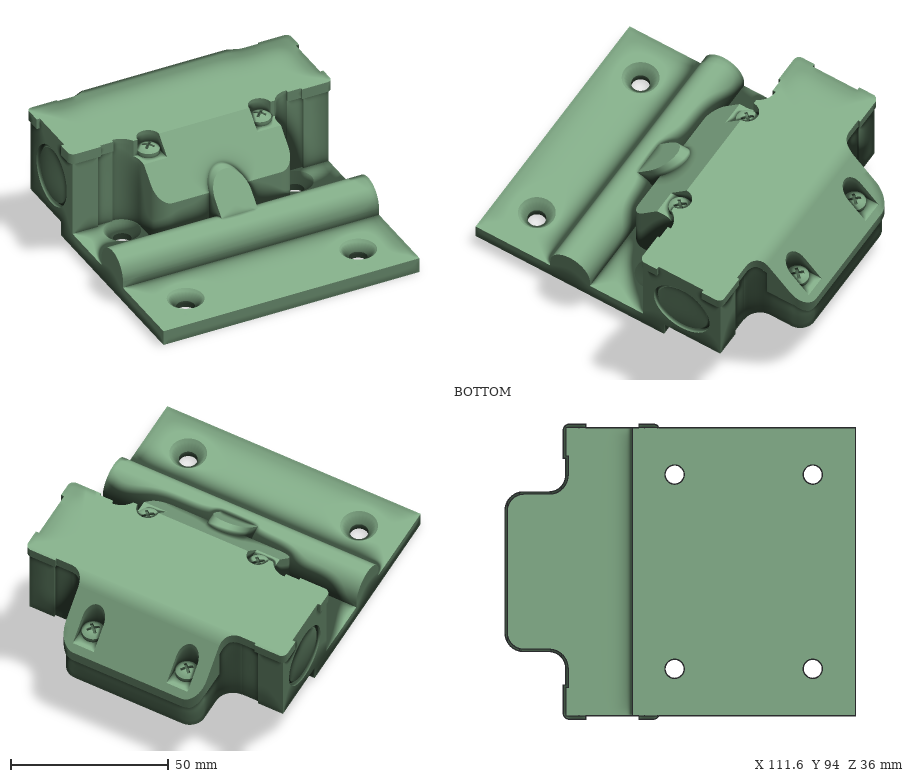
import cadquery as cq
import math


total_length = 111.6
total_height = 36.0

plate_start_x = 40.6
plate_half_width = 45.9
plate_thickness = 5.2
barrel_radius = 7.5
barrel_x = 76.0
barrel_axis_z = 7.6
hole_x_positions = (54.0, 98.0)
hole_y = 30.9
hole_radius = 3.0
countersink_radius = 6.0
countersink_angle = 90.0

wall_inset = 0.8
housing_half_width = plate_half_width
block_start_x = 20.2
block_end_x = 47.8
block_center_x = (block_start_x + block_end_x) / 2
end_pad_start_y = 36.8

flap_edge_z = 18.9
flap_half_width = 25.5
flap_corner_radius = 6.0
flap_flare_radius = 5.2
top_edge_radius = 8.2
flap_flare_y = flap_half_width + flap_flare_radius

back_slope_x = 50.9
back_end_x = 67.0
back_half_width = 24.6
back_corner_radius = 5.1
scallop_radius = 6.7
scallop_x = hole_x_positions[0]
scallop_y = back_half_width + scallop_radius

cover_thickness = 3.7
cover_lip_z = total_height - cover_thickness
cover_front_overhang = 0.9
cover_back_overhang = 0.7
cover_start_x = block_start_x - cover_front_overhang
cover_end_x = block_end_x + cover_back_overhang
cover_half_width = housing_half_width
front_pad_length = 7.3
back_pad_length = 6.6
cover_pad_overhang = 0.8
cover_pad_end_overhang = 1.1
cover_pad_start_y = 36.1
cover_pad_radius = 2.0
flap_lip_z = 15.0
flap_skirt_z = 18.8
flap_skirt_end_x = 14.7

plug_z = 19.0
plug_bore_radius = 10.5
plug_face_radius = 9.3
plug_recess_depth = 0.7

screw_head_radius = 3.7
screw_rim_height = 1.6
screw_head_height = 2.9
recess_arm_angle = 45.0
recess_arm_length = 4.2
recess_arm_width = 1.0
recess_depth = 1.3
pocket_radius = 3.8
front_screw_x = 8.6
front_screw_y = 17.0
front_pocket_start_x = 2.0
back_screw_x = back_slope_x
back_screw_y = 20.0
back_pocket_end_x = 56.7

tongue_half_width = 6.5
tongue_axis_z = 19.4
tongue_bottom_z = 10.3
tongue_slope_x = 64.9
tongue_top_z = tongue_axis_z + tongue_half_width


def box(x_range, y_range, z_range):
    """Axis-aligned box between the given limits."""
    sizes = [high - low for low, high in (x_range, y_range, z_range)]
    return cq.Workplane("XY").box(*sizes, centered=False).translate((x_range[0], y_range[0], z_range[0]))


def cylinder(x, y, radius, bottom, top):
    """Upright cylinder."""
    return cq.Workplane("XY", origin=(x, y, bottom)).circle(radius).extrude(top - bottom)


def side_profile(points, half_width):
    """Closed X-Z outline extruded symmetrically about Y = 0."""
    return cq.Workplane("XZ").polyline(points).close().extrude(half_width, both=True)


def mirrored(feature):
    """Feature together with its mirror image across Y = 0."""
    return feature.union(feature.mirror("XZ"))


def make_plate():
    """Base plate with four countersunk holes and a round-topped hinge barrel."""
    plate = box((plate_start_x, total_length), (-plate_half_width, plate_half_width), (0, plate_thickness))
    barrel = (
        cq.Workplane("XZ")
        .moveTo(barrel_x - barrel_radius, 0)
        .lineTo(barrel_x - barrel_radius, barrel_axis_z)
        .threePointArc((barrel_x, barrel_axis_z + barrel_radius), (barrel_x + barrel_radius, barrel_axis_z))
        .lineTo(barrel_x + barrel_radius, 0)
        .close()
        .extrude(plate_half_width, both=True)
    )
    holes = [(x, side * hole_y) for x in hole_x_positions for side in (-1, 1)]
    plate = (
        plate.faces(">Z").workplane(origin=(0, 0, plate_thickness))
        .pushPoints(holes)
        .cskHole(2 * hole_radius, 2 * countersink_radius, countersink_angle)
    )
    return plate.union(barrel)


def make_flap(inset, root_x, bottom, top):
    """Flap with rounded outer corners and flared roots, its sides set in by the given amount."""
    edge_x = inset
    half_width = flap_half_width - inset
    corner = flap_corner_radius - inset
    flare = flap_flare_radius + inset
    flare_x = cover_start_x + inset - flare
    diagonal = math.sqrt(0.5)
    return (
        cq.Workplane("XY", origin=(0, 0, bottom))
        .moveTo(root_x, 0)
        .lineTo(root_x, flap_flare_y)
        .lineTo(flare_x + flare, flap_flare_y)
        .threePointArc(
            (flare_x + flare * diagonal, flap_flare_y - flare * diagonal),
            (flare_x, half_width),
        )
        .lineTo(edge_x + corner, half_width)
        .tangentArcPoint((edge_x, half_width - corner), relative=False)
        .lineTo(edge_x, 0)
        .mirrorX()
        .extrude(top - bottom)
    )


def make_back_block():
    """Block under the back slope, flaring out towards the main block."""
    z_range = (plate_thickness, total_height)
    block = box((block_center_x, back_end_x), (-back_half_width, back_half_width), z_range)
    block = block.edges("|Z and >X").fillet(back_corner_radius)
    root = box((block_center_x, scallop_x), (-scallop_y, scallop_y), z_range)
    return block.union(root)


def make_scallop():
    """Half-round clearance that forms the flare of the back block."""
    disc = cylinder(scallop_x, scallop_y, scallop_radius, plate_thickness, total_height)
    inner_half = box(
        (scallop_x - scallop_radius, scallop_x + scallop_radius),
        (back_half_width, scallop_y),
        (plate_thickness, total_height),
    )
    return disc.intersect(inner_half)


def make_housing():
    """Main block with thicker ends, the front flap and the back block, before the slopes are cut."""
    z_range = (plate_thickness, total_height)
    housing = box((block_start_x, block_end_x), (-housing_half_width, housing_half_width), z_range)
    end_pad = box(
        (block_start_x - wall_inset, block_end_x + wall_inset),
        (end_pad_start_y, housing_half_width),
        z_range,
    )
    flap = make_flap(wall_inset, block_center_x, *z_range)
    return housing.union(mirrored(end_pad)).union(flap).union(make_back_block())


def make_cover():
    """Cover plate with proud corner pads, continuing down over the front flap."""
    z_range = (cover_lip_z, total_height)
    plate = box((cover_start_x, cover_end_x), (-cover_half_width, cover_half_width), z_range)
    pad_start_x = cover_start_x - cover_pad_overhang
    pad_end_x = cover_end_x + cover_pad_overhang
    pad_y_range = (cover_pad_start_y, cover_half_width + cover_pad_end_overhang)
    front_pad = box((pad_start_x, pad_start_x + front_pad_length), pad_y_range, z_range)
    back_pad = box((pad_end_x - back_pad_length, pad_end_x), pad_y_range, z_range)
    front_pad = front_pad.edges("|Z and <X and >Y").fillet(cover_pad_radius)
    back_pad = back_pad.edges("|Z and >X and >Y").fillet(cover_pad_radius)

    underside_offset = flap_lip_z - wall_inset
    shell = side_profile(
        [
            (0, total_height),
            (0, flap_lip_z),
            (wall_inset, flap_lip_z),
            (flap_skirt_z - underside_offset, flap_skirt_z),
            (flap_skirt_end_x, flap_skirt_z),
            (flap_skirt_end_x, flap_skirt_end_x + underside_offset),
            (cover_lip_z - underside_offset, cover_lip_z),
            (block_center_x, cover_lip_z),
            (block_center_x, total_height),
        ],
        flap_flare_y,
    )
    flap = make_flap(0, block_center_x, flap_lip_z, total_height).intersect(shell)
    return plate.union(mirrored(front_pad.union(back_pad))).union(flap)


def make_envelope():
    """Side profile with the two slopes and the rounded edge between front slope and top."""
    rise = total_height - flap_edge_z
    housing_height = total_height - plate_thickness
    envelope = side_profile(
        [
            (0, plate_thickness),
            (0, flap_edge_z),
            (rise, total_height),
            (back_slope_x, total_height),
            (back_slope_x + housing_height, plate_thickness),
        ],
        housing_half_width + cover_pad_end_overhang,
    )
    top_front_edge = cq.selectors.NearestToPointSelector((rise, 0, total_height))
    return envelope.edges("|Y").edges(top_front_edge).fillet(top_edge_radius)


def make_plug_recess():
    """Space around a bevelled plug sunk into the bore of the +Y end face."""
    bevel = plug_bore_radius - plug_face_radius
    depth = plug_recess_depth + bevel
    bore = (
        cq.Workplane("XZ", origin=(block_center_x, housing_half_width, plug_z))
        .circle(plug_bore_radius)
        .extrude(depth)
    )
    bevelled_plug = (
        cq.Workplane("XZ", origin=(block_center_x, housing_half_width - depth, plug_z))
        .circle(plug_bore_radius)
        .workplane(offset=-bevel)
        .circle(plug_face_radius)
        .loft()
    )
    return bore.cut(bevelled_plug)


def dome_midpoint():
    """Point halfway along the spherical dome from rim to crown, as radius and height."""
    dome_height = screw_head_height - screw_rim_height
    sphere_radius = (screw_head_radius**2 + dome_height**2) / (2 * dome_height)
    half_angle = math.asin(screw_head_radius / sphere_radius) / 2
    height = screw_head_height - sphere_radius * (1 - math.cos(half_angle))
    return (sphere_radius * math.sin(half_angle), height)


def make_screw_head(x, y, seat_z):
    """Domed screw head with a cross recess turned 45 degrees."""
    head = (
        cq.Workplane("XZ")
        .lineTo(screw_head_radius, 0)
        .lineTo(screw_head_radius, screw_rim_height)
        .threePointArc(dome_midpoint(), (0, screw_head_height))
        .close()
        .revolve(360, (0, 0, 0), (0, 1, 0))
    )
    for angle in (recess_arm_angle, -recess_arm_angle):
        arm = cq.Workplane("XY").box(recess_arm_length, recess_arm_width, 2 * recess_depth)
        head = head.cut(arm.rotate((0, 0, 0), (0, 0, 1), angle).translate((0, 0, screw_head_height)))
    return head.translate((x, y, seat_z))


def make_tongue():
    """Round-topped tongue linking the back block to the barrel, cut off parallel to the slope."""
    tongue = (
        cq.Workplane("YZ", origin=(back_slope_x, 0, 0))
        .moveTo(-tongue_half_width, tongue_bottom_z)
        .lineTo(-tongue_half_width, tongue_axis_z)
        .threePointArc((0, tongue_top_z), (tongue_half_width, tongue_axis_z))
        .lineTo(tongue_half_width, tongue_bottom_z)
        .close()
        .extrude(barrel_x - back_slope_x)
    )
    trim = side_profile(
        [
            (back_slope_x, 0),
            (back_slope_x, tongue_top_z),
            (tongue_slope_x, tongue_top_z),
            (barrel_x, tongue_top_z - (barrel_x - tongue_slope_x)),
            (barrel_x, 0),
        ],
        tongue_half_width,
    )
    return tongue.intersect(trim)


housing = make_housing().union(make_cover()).intersect(make_envelope())
housing = housing.cut(mirrored(make_scallop())).cut(mirrored(make_plug_recess()))

front_seat_z = flap_edge_z + front_pocket_start_x
back_seat_z = total_height - (back_pocket_end_x - back_slope_x)

front_pocket = cylinder(front_screw_x, front_screw_y, pocket_radius, front_seat_z, total_height).union(
    box(
        (front_pocket_start_x, front_screw_x),
        (front_screw_y - pocket_radius, front_screw_y + pocket_radius),
        (front_seat_z, total_height),
    )
)
back_pocket = cylinder(back_screw_x, back_screw_y, pocket_radius, back_seat_z, total_height).union(
    box(
        (back_screw_x, back_pocket_end_x),
        (back_screw_y - pocket_radius, scallop_y),
        (back_seat_z, total_height),
    )
)
housing = housing.cut(mirrored(front_pocket)).cut(mirrored(back_pocket))

screws = mirrored(make_screw_head(front_screw_x, front_screw_y, front_seat_z)).union(
    mirrored(make_screw_head(back_screw_x, back_screw_y, back_seat_z))
)

result = make_plate().union(housing).union(make_tongue()).union(screws)